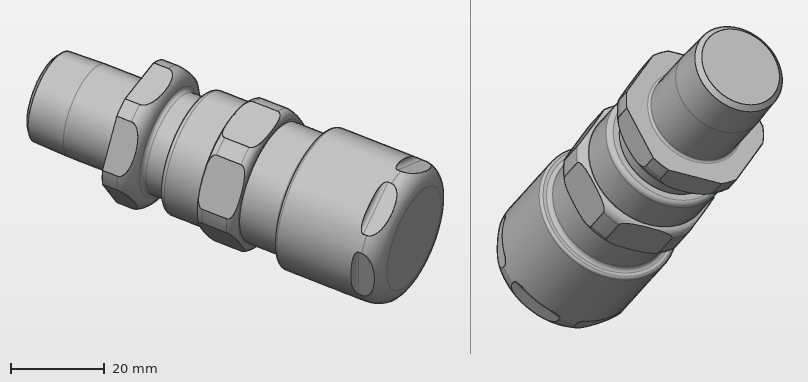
import cadquery as cq
import math


flat_count = 6
flat_angle = 360 / flat_count
corner_radius = 32.5 / 2
across_flats = 30.0
hexagon_diameter = across_flats / math.cos(math.pi / flat_count)

tip_face_radius = 9.2
tip_chamfer_length = 1.0
taper_start_radius = 20.7 / 2
taper_end = 9.7
stud_radius = 21.4 / 2
stud_fillet = 0.5
entry_hex_start = 22.3
entry_hex_end = 29.5
entry_hex_round = 3.6
neck_radius = 23.4 / 2
neck_fillet = corner_radius - entry_hex_round - neck_radius

middle_start = 35.2
middle_radius = 28.6 / 2
middle_round = 1.2
middle_hex_start = 44.8
middle_end = 54.5
middle_hex_round = 1.9

collar_radius = 27.7 / 2
collar_fillet = 1.0
shell_start = 64.3
shell_front_round = 0.6
shell_rear_round = 4.4
rear_end = 89.4
rear_flats_start = 84.2
rear_flats_fillet = 1.2

cutter_margin = 4.5


def revolve_about_x(profile):
    """Close a profile that starts and ends on the X axis and spin it into a solid."""
    return profile.close().revolve(360, (0, 0, 0), (1, 0, 0))


def quarter_arc(profile, end, center, bulge):
    """Add a quarter arc about `center` that passes through its point in direction `bulge`."""
    radius = math.dist(center, end)
    reach = radius * math.sqrt(0.5)
    middle = (center[0] + bulge[0] * reach, center[1] + bulge[1] * reach)
    return profile.threePointArc(middle, end)


def keep_hexagon(body, start, end):
    """Cut flats on a round body between two X positions, with hexagon corners towards +Y and -Y."""
    waste = (
        cq.Workplane("YZ", origin=(start, 0, 0))
        .circle(corner_radius + cutter_margin)
        .polygon(flat_count, hexagon_diameter)
        .extrude(end - start)
    )
    return body.cut(waste)


def make_entry_stud():
    round_start = entry_hex_end - entry_hex_round
    round_center = corner_radius - entry_hex_round
    fillet_start = entry_hex_start - stud_fillet
    fillet_top = stud_radius + stud_fillet
    fillet_end = entry_hex_end + neck_fillet

    profile = (
        cq.Workplane("XY")
        .lineTo(0, tip_face_radius)
        .lineTo(tip_chamfer_length, taper_start_radius)
        .lineTo(taper_end, stud_radius)
        .lineTo(fillet_start, stud_radius)
    )
    profile = quarter_arc(profile, (entry_hex_start, fillet_top), (fillet_start, fillet_top), (1, -1))
    profile = profile.lineTo(entry_hex_start, corner_radius).lineTo(round_start, corner_radius)
    profile = quarter_arc(profile, (entry_hex_end, round_center), (round_start, round_center), (1, 1))
    profile = quarter_arc(profile, (fillet_end, neck_radius), (fillet_end, neck_radius + neck_fillet), (-1, -1))
    profile = profile.lineTo(middle_start, neck_radius).lineTo(middle_start, 0)
    return keep_hexagon(revolve_about_x(profile), entry_hex_start, entry_hex_end)


def make_middle_nut():
    lead_end = middle_start + middle_round
    lead_center = middle_radius - middle_round
    left_center = middle_hex_start + middle_hex_round
    right_center = middle_end - middle_hex_round
    round_center = corner_radius - middle_hex_round

    profile = cq.Workplane("XY").moveTo(middle_start, 0).lineTo(middle_start, lead_center)
    profile = quarter_arc(profile, (lead_end, middle_radius), (lead_end, lead_center), (-1, 1))
    profile = profile.lineTo(middle_hex_start, middle_radius).lineTo(middle_hex_start, round_center)
    profile = quarter_arc(profile, (left_center, corner_radius), (left_center, round_center), (-1, 1))
    profile = profile.lineTo(right_center, corner_radius)
    profile = quarter_arc(profile, (middle_end, round_center), (right_center, round_center), (1, 1))
    profile = profile.lineTo(middle_end, 0)
    return keep_hexagon(revolve_about_x(profile), middle_hex_start, middle_end)


def make_rear_flat_cutters():
    """One slab per rear flat, each leaving a concave fillet where its flat ends towards -X."""
    start = rear_flats_start - rear_flats_fillet
    end = rear_end + cutter_margin
    apothem = across_flats / 2
    fillet_top = apothem + rear_flats_fillet
    outside = apothem + cutter_margin
    width = 2 * outside

    section = cq.Workplane("XZ", origin=(0, outside, 0)).moveTo(end, apothem).lineTo(rear_flats_start, apothem)
    section = quarter_arc(section, (start, fillet_top), (rear_flats_start, fillet_top), (-1, -1))
    slab = section.lineTo(start, outside).lineTo(end, outside).close().extrude(width)

    return [slab.rotate((0, 0, 0), (1, 0, 0), (index + 0.5) * flat_angle) for index in range(flat_count)]


def make_back_nut():
    fillet_start = shell_start - collar_fillet
    fillet_top = collar_radius + collar_fillet
    front_end = shell_start + shell_front_round
    front_center = corner_radius - shell_front_round
    rear_start = rear_end - shell_rear_round
    rear_center = corner_radius - shell_rear_round

    profile = (
        cq.Workplane("XY")
        .moveTo(middle_end, 0)
        .lineTo(middle_end, collar_radius)
        .lineTo(fillet_start, collar_radius)
    )
    profile = quarter_arc(profile, (shell_start, fillet_top), (fillet_start, fillet_top), (1, -1))
    profile = profile.lineTo(shell_start, front_center)
    profile = quarter_arc(profile, (front_end, corner_radius), (front_end, front_center), (-1, 1))
    profile = profile.lineTo(rear_start, corner_radius)
    profile = quarter_arc(profile, (rear_end, rear_center), (rear_start, rear_center), (1, 1))
    body = revolve_about_x(profile.lineTo(rear_end, 0))

    for slab in make_rear_flat_cutters():
        body = body.cut(slab)
    return body


entry_stud = make_entry_stud()
middle_nut = make_middle_nut()
back_nut = make_back_nut()

result = cq.Compound.makeCompound([entry_stud.val(), middle_nut.val(), back_nut.val()])